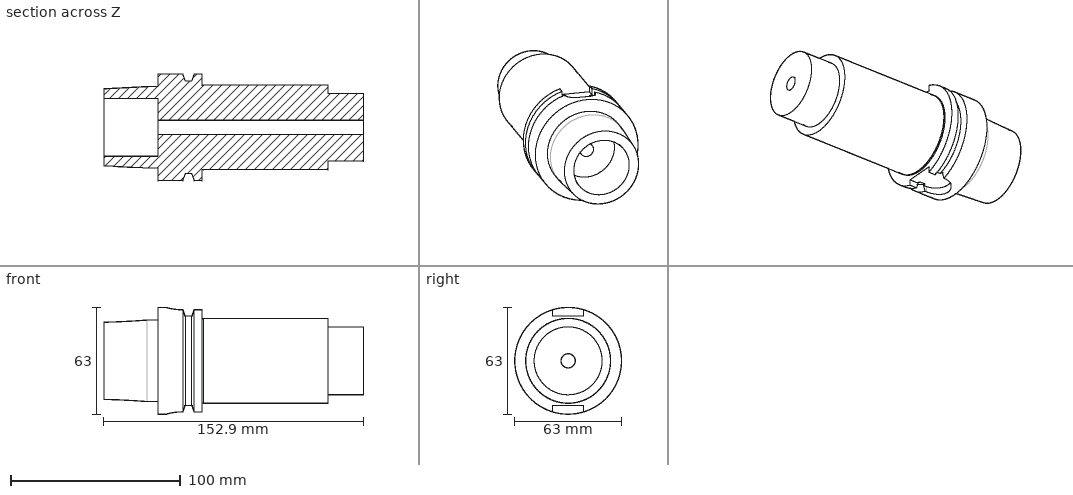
import cadquery as cq

total_length = 152.9
taper_end = 25.4
flange_start = 31.8
flange_end = 57.8
groove_center = 49.8
groove_outer_width = 6.4
groove_floor_width = 3.7
relief_end = 58.7
body_end = 132.1

shank_tip_diameter = 45.5
shank_diameter = 48.2
flange_diameter = 63.0
groove_diameter = 54.9
relief_diameter = 49.8
body_diameter = 50.2
nose_diameter = 40.0
bore_diameter = 34.0
through_hole_diameter = 8.3

bore_depth = 31.8
slot_width = 18.2
slot_start = 36.7
slot_floor_height = 26.5


def cylinder(start, end, diameter):
    """Solid cylinder on the X axis between two axial stations."""
    return cq.Workplane("YZ", origin=(start, 0, 0)).circle(diameter / 2).extrude(end - start)


def turned_body():
    """Shank, flange with its V-groove, body and nose, revolved about X."""
    shank_radius = shank_diameter / 2
    flange_radius = flange_diameter / 2
    groove_radius = groove_diameter / 2
    relief_radius = relief_diameter / 2
    body_radius = body_diameter / 2
    nose_radius = nose_diameter / 2
    outline = [
        (0, 0),
        (0, shank_tip_diameter / 2),
        (taper_end, shank_radius),
        (flange_start, shank_radius),
        (flange_start, flange_radius),
        (groove_center - groove_outer_width / 2, flange_radius),
        (groove_center - groove_floor_width / 2, groove_radius),
        (groove_center + groove_floor_width / 2, groove_radius),
        (groove_center + groove_outer_width / 2, flange_radius),
        (flange_end, flange_radius),
        (flange_end, relief_radius),
        (relief_end, relief_radius),
        (relief_end, body_radius),
        (body_end, body_radius),
        (body_end, nose_radius),
        (total_length, nose_radius),
        (total_length, 0),
    ]
    return cq.Workplane("XY").polyline(outline).close().revolve(360, (0, 0, 0), (1, 0, 0))


def driving_slot(side):
    """Flat-floored, round-ended slot cutter; side is +1 for top, -1 for bottom."""
    half_width = slot_width / 2
    arc_center = slot_start + half_width
    depth = flange_diameter / 2 - slot_floor_height
    return (
        cq.Workplane("XY", origin=(0, 0, side * slot_floor_height))
        .moveTo(flange_end, -half_width)
        .lineTo(arc_center, -half_width)
        .threePointArc((slot_start, 0), (arc_center, half_width))
        .lineTo(flange_end, half_width)
        .close()
        .extrude(side * depth)
    )


result = turned_body()
result = result.cut(cylinder(0, bore_depth, bore_diameter))
result = result.cut(cylinder(0, total_length, through_hole_diameter))
for side in (1, -1):
    result = result.cut(driving_slot(side))